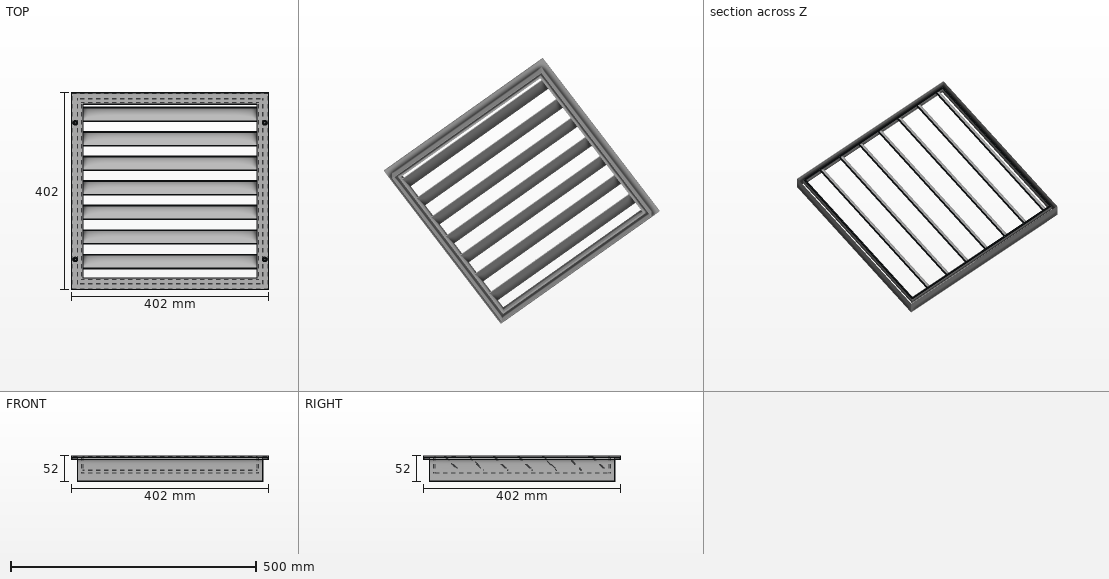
import cadquery as cq
import math

FLANGE_SIDE = 402.0
FLANGE_THICKNESS = 3.2
OPENING_SIDE = 354.0
LIP_DEPTH = 3.5
LIP_THICKNESS = 1.5
FRAME_WALL = FLANGE_THICKNESS
FRAME_DEPTH = 35.0

TOTAL_HEIGHT = 52.0
SLEEVE_SIDE = 378.3
SLEEVE_WALL = 1.0

SLAT_COUNT = 7
SLAT_ROW_LENGTH = 300.0
SLAT_WIDTH = 40.0
SLAT_THICKNESS = 1.5
SLAT_TILT = 45.0
SLAT_ROW_Y = 6.5

SCREW_SPACING_X = 386.5
SCREW_SPACING_Y = 278.5
SCREW_HOLE_DIAMETER = 5.0
SCREW_HEAD_DIAMETER = 9.2
COUNTERSINK_ANGLE = 90.0

FLANGE_BOTTOM = TOTAL_HEIGHT - FLANGE_THICKNESS
LIP_BOTTOM = FLANGE_BOTTOM - LIP_DEPTH
LIP_INNER_SIDE = FLANGE_SIDE - 2 * LIP_THICKNESS
FRAME_SIDE = OPENING_SIDE + 2 * FRAME_WALL
FRAME_BOTTOM = TOTAL_HEIGHT - FRAME_DEPTH
SLEEVE_BORE_SIDE = SLEEVE_SIDE - 2 * SLEEVE_WALL
SLAT_PITCH = SLAT_ROW_LENGTH / (SLAT_COUNT - 1)
SLAT_HALF_HEIGHT = (SLAT_WIDTH + SLAT_THICKNESS) / 2 * math.sin(math.radians(SLAT_TILT))
SLAT_ROW_Z = TOTAL_HEIGHT - SLAT_HALF_HEIGHT


def square_ring(outer_side, inner_side, bottom, top):
    """Square ring of rectangular section between two levels."""
    return (
        cq.Workplane("XY", origin=(0, 0, bottom))
        .rect(outer_side, outer_side)
        .rect(inner_side, inner_side)
        .extrude(top - bottom)
    )


def make_slat(index):
    """One tilted slat, spanning the opening from wall to wall."""
    y = SLAT_ROW_Y + (index - (SLAT_COUNT - 1) / 2) * SLAT_PITCH
    return (
        cq.Workplane("XY")
        .box(OPENING_SIDE, SLAT_WIDTH, SLAT_THICKNESS)
        .rotate((0, 0, 0), (1, 0, 0), -SLAT_TILT)
        .translate((0, y, SLAT_ROW_Z))
    )


def make_flange():
    """Flat flange with four countersunk screw holes."""
    return (
        square_ring(FLANGE_SIDE, OPENING_SIDE, FLANGE_BOTTOM, TOTAL_HEIGHT)
        .faces(">Z")
        .workplane(origin=(0, 0, TOTAL_HEIGHT))
        .rarray(SCREW_SPACING_X, SCREW_SPACING_Y, 2, 2)
        .cskHole(SCREW_HOLE_DIAMETER, SCREW_HEAD_DIAMETER, COUNTERSINK_ANGLE)
    )


def make_louver():
    """Frame with a lipped, screw-on flange and fixed slats across the opening."""
    wall = square_ring(FRAME_SIDE, OPENING_SIDE, FRAME_BOTTOM, FLANGE_BOTTOM)
    lip = square_ring(FLANGE_SIDE, LIP_INNER_SIDE, LIP_BOTTOM, FLANGE_BOTTOM)
    louver = make_flange().union(wall).union(lip)
    for index in range(SLAT_COUNT):
        louver = louver.union(make_slat(index))
    return louver


def make_sleeve():
    """Thin square sleeve whose outward flange fills the recess inside the lip."""
    wall = square_ring(SLEEVE_SIDE, SLEEVE_BORE_SIDE, 0, FLANGE_BOTTOM)
    flange = square_ring(LIP_INNER_SIDE, SLEEVE_BORE_SIDE, LIP_BOTTOM, FLANGE_BOTTOM)
    return wall.union(flange)


louver = make_louver()
sleeve = make_sleeve()

result = cq.Compound.makeCompound([louver.solids().val(), sleeve.solids().val()])